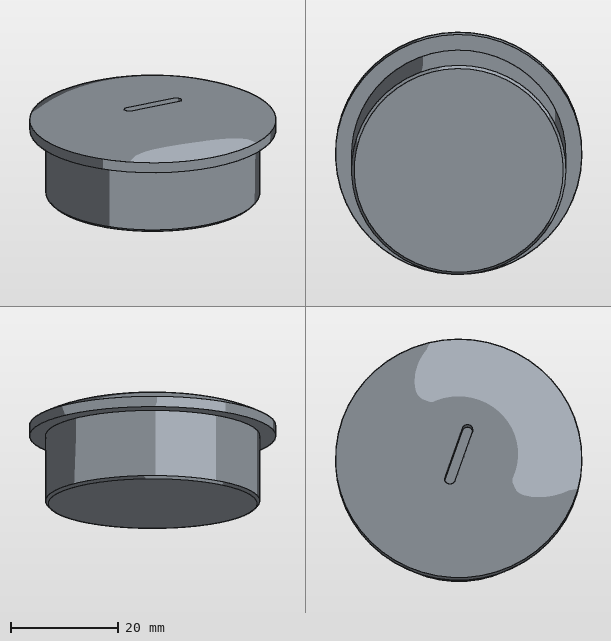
import cadquery as cq
import math

flange_diameter = 46.0
total_height = 18.0
rim_height = 2.0
dome_height = 3.0
crown_diameter = 22.25
plug_diameter = 40.0
plug_chamfer = 0.5
slot_length = 12.0
slot_width = 2.0
slot_depth = 2.0

flange_radius = flange_diameter / 2
crown_radius = crown_diameter / 2
plug_height = total_height - rim_height - dome_height
rim_top = plug_height + rim_height

dome_run = flange_radius - crown_radius
dome_arc_radius = (dome_run**2 + dome_height**2) / (2 * dome_height)
half_sweep = math.asin(dome_run / dome_arc_radius) / 2
dome_midpoint = (
    crown_radius + dome_arc_radius * math.sin(half_sweep),
    total_height - dome_arc_radius * (1 - math.cos(half_sweep)),
)


def make_plug():
    """Cylindrical plug with a chamfered bottom edge."""
    return (
        cq.Workplane("XY")
        .circle(plug_diameter / 2)
        .extrude(plug_height)
        .faces("<Z")
        .chamfer(plug_chamfer)
    )


def make_head():
    """Domed head with a straight rim and a flat crown."""
    return (
        cq.Workplane("XZ")
        .moveTo(0, plug_height)
        .lineTo(flange_radius, plug_height)
        .lineTo(flange_radius, rim_top)
        .threePointArc(dome_midpoint, (crown_radius, total_height))
        .lineTo(0, total_height)
        .close()
        .revolve(360, (0, 0), (0, 1))
    )


def make_slot():
    """Round-ended blind slot running along Y, cut down from the crown."""
    return (
        cq.Workplane("XY")
        .workplane(offset=total_height)
        .slot2D(slot_length, slot_width, 90)
        .extrude(-slot_depth)
    )


result = make_plug().union(make_head()).cut(make_slot())